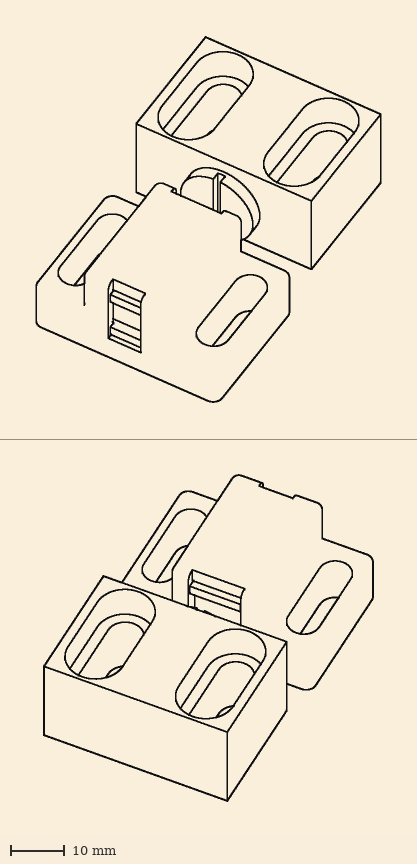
import cadquery as cq


housing_width = 40.0
housing_depth = 27.95
base_height = 10.1
housing_height = 20.0
hump_width = 18.65
corner_radius = 2.0
hump_radius = 1.5
base_edge_radius = 0.6
hump_root_radius = 0.5
selection_margin = 0.05
housing_slot_width = 6.4
housing_slot_length = 19.8
housing_slot_offset = 14.95

pole_thickness = 2.05
pole_clearance = 0.2
lower_pole_bottom = 6.05
upper_pole_top = 17.05
pole_front_inset = 0.45
pole_rear_inset = 0.25
magnet_inset = 2.45
upper_pole_bottom = upper_pole_top - pole_thickness
lower_pole_top = lower_pole_bottom + pole_thickness

cavity_floor = 5.25
cavity_ceiling = upper_pole_top
front_opening_width = 7.0
cavity_width = 10.85
notch_depth = 1.7
nose_width = front_opening_width - 2 * pole_clearance
pole_width = cavity_width - 2 * pole_clearance

overall_depth = 61.55
overall_height = 21.65
block_width = 38.0
block_depth = 25.35
block_height = 19.0
block_slot_width = 7.0
block_slot_length = 19.9
counter_slot_width = 11.3
counter_slot_length = 23.9
counter_slot_depth = 6.85
block_slot_offset = 11.45
block_front = overall_depth - block_depth
block_bottom = overall_height - block_height

disc_diameter = 15.65
disc_thickness = 2.5
disc_center_z = 11.2
disc_slot_width = 1.55
disc_slot_depth = 1.7


def box_between(width, y_start, y_end, z_start, z_end):
    """Box centred on X = 0 that spans the given Y and Z ranges."""
    return cq.Workplane("XY").box(
        width, y_end - y_start, z_end - z_start, centered=(True, False, False)
    ).translate((0, y_start, z_start))


def upright_slots(offset, center_y, length, width, z_start, z_end):
    """Pair of upright cutters with rounded ends, long side along Y, mirrored about X = 0."""
    return (
        cq.Workplane("XY", origin=(0, center_y, z_start))
        .pushPoints([(-offset, 0), (offset, 0)])
        .slot2D(length, width, 90)
        .extrude(z_end - z_start)
    )


def housing_shell():
    """Flanged base with a raised hump, all outer edges rounded."""
    base = box_between(housing_width, 0, housing_depth, 0, base_height)
    base = base.edges("|Z").fillet(corner_radius)
    base = base.faces(">Z").edges().fillet(base_edge_radius)
    hump = box_between(hump_width, 0, housing_depth, 0, housing_height)
    hump = hump.edges("|Z or >Z").fillet(hump_radius)
    shell = base.union(hump)
    root_edges = cq.selectors.BoxSelector(
        (-hump_width / 2 - selection_margin, 0, base_height - selection_margin),
        (hump_width / 2 + selection_margin, housing_depth, base_height + selection_margin),
    )
    return shell.edges("|Y").edges(root_edges).fillet(hump_root_radius)


def magnet_cavity():
    """Stepped passage along Y, opening upward in a notch at each end."""
    rear_notch_start = housing_depth - notch_depth
    passage = box_between(front_opening_width, 0, notch_depth, cavity_floor, housing_height)
    passage = passage.union(
        box_between(cavity_width, notch_depth, housing_depth, cavity_floor, cavity_ceiling)
    )
    return passage.union(
        box_between(cavity_width, rear_notch_start, housing_depth, cavity_floor, housing_height)
    )


def make_housing():
    slots = upright_slots(
        housing_slot_offset, housing_depth / 2, housing_slot_length, housing_slot_width,
        0, base_height,
    )
    return housing_shell().cut(magnet_cavity()).cut(slots)


def make_pole_plate(bottom):
    """T-shaped plate whose narrow nose reaches into the front opening."""
    top = bottom + pole_thickness
    tail = box_between(pole_width, notch_depth, housing_depth - pole_rear_inset, bottom, top)
    nose = box_between(nose_width, pole_front_inset, notch_depth, bottom, top)
    return tail.union(nose)


def make_magnet():
    return box_between(
        pole_width, magnet_inset, housing_depth - magnet_inset, lower_pole_top, upper_pole_bottom
    )


def make_block():
    center_y = block_front + block_depth / 2
    block = box_between(block_width, block_front, overall_depth, block_bottom, overall_height)
    block = block.cut(upright_slots(
        block_slot_offset, center_y, block_slot_length, block_slot_width,
        block_bottom, overall_height,
    ))
    return block.cut(upright_slots(
        block_slot_offset, center_y, counter_slot_length, counter_slot_width,
        overall_height - counter_slot_depth, overall_height,
    ))


def make_strike_disc():
    """Disc on the block's front face with a screwdriver slot along Z."""
    disc_front = block_front - disc_thickness
    disc = (
        cq.Workplane("XZ", origin=(0, block_front, disc_center_z))
        .circle(disc_diameter / 2)
        .extrude(disc_thickness)
    )
    return disc.cut(box_between(
        disc_slot_width, disc_front, disc_front + disc_slot_depth,
        disc_center_z - disc_diameter / 2, disc_center_z + disc_diameter / 2,
    ))


housing = make_housing()
magnet = make_magnet()
pole_plates = [make_pole_plate(bottom) for bottom in (lower_pole_bottom, upper_pole_bottom)]
block = make_block()
strike_disc = make_strike_disc()

result = cq.Compound.makeCompound([
    housing.val(),
    magnet.val(),
    *[plate.val() for plate in pole_plates],
    block.val(),
    strike_disc.val(),
])